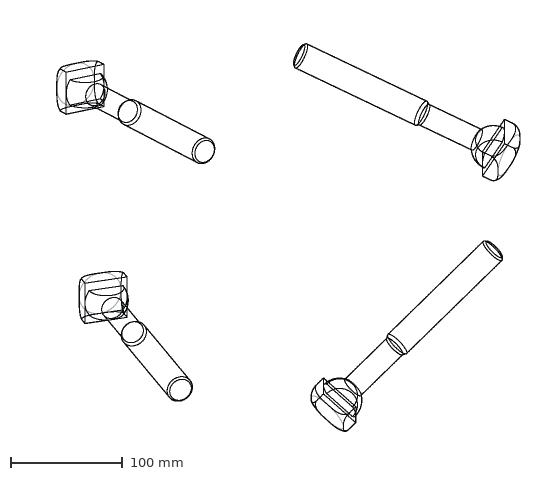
import cadquery as cq
import math

total_length = 216.0
head_width = 40.0
head_thickness = 16.0
corner_round_radius = 8.5
shank_diameter = 24.0
neck_diameter = 20.5
shank_start = 90.5
shoulder_length = 3.2
end_chamfer_length = 2.0

head_half_width = head_width / 2
shank_radius = shank_diameter / 2
neck_radius = neck_diameter / 2
round_outer_radius = head_half_width + corner_round_radius
arc_offset = corner_round_radius * math.sqrt(0.5)


def make_head():
    """Square head whose front corners are cut by a revolved quarter-round."""
    block = cq.Workplane("YZ").rect(head_width, head_width).extrude(head_thickness)
    arc_middle = (corner_round_radius - arc_offset, head_half_width + arc_offset)
    rounded_disc = (
        cq.Workplane("XY")
        .lineTo(0, head_half_width)
        .threePointArc(arc_middle, (corner_round_radius, round_outer_radius))
        .lineTo(head_thickness, round_outer_radius)
        .lineTo(head_thickness, 0)
        .close()
        .revolve(360, (0, 0, 0), (1, 0, 0))
    )
    return block.intersect(rounded_disc)


def make_collar():
    """Half ball behind the head, flattened above and below to the shank diameter."""
    ball = cq.Workplane("XY").sphere(head_half_width).translate((head_thickness, 0, 0))
    slab = (
        cq.Workplane("XY")
        .box(head_half_width, head_width, shank_diameter, centered=(False, True, True))
        .translate((head_thickness, 0, 0))
    )
    return ball.intersect(slab)


def make_stem():
    """Neck and shank, joined by a conical shoulder and chamfered at the free end."""
    return (
        cq.Workplane("XY")
        .moveTo(head_thickness, 0)
        .lineTo(head_thickness, neck_radius)
        .lineTo(shank_start - shoulder_length, neck_radius)
        .lineTo(shank_start, shank_radius)
        .lineTo(total_length - end_chamfer_length, shank_radius)
        .lineTo(total_length, neck_radius)
        .lineTo(total_length, 0)
        .close()
        .revolve(360, (0, 0, 0), (1, 0, 0))
    )


result = make_head().union(make_collar()).union(make_stem())